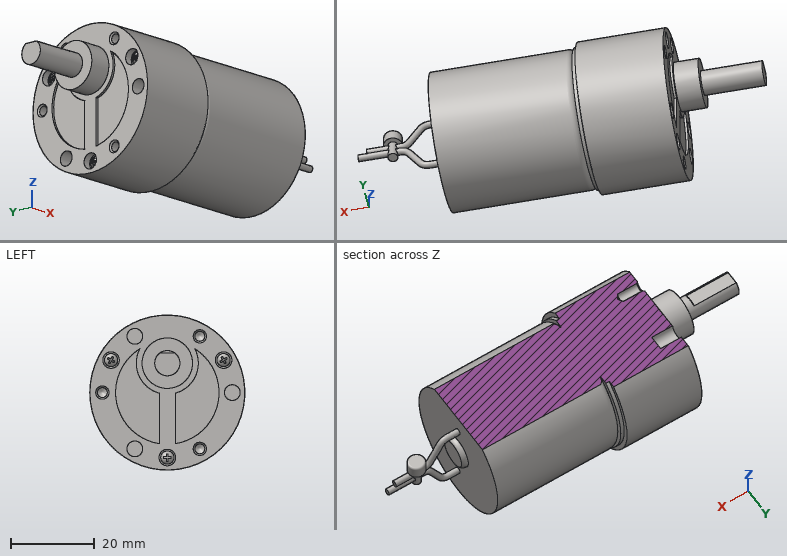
import cadquery as cq
import math

OVERALL_LENGTH = 98.7

GEARBOX_RADIUS = 37.0 / 2
GEARBOX_LENGTH = 21.4
COLLAR_RADIUS = 17.3
COLLAR_LENGTH = 1.0
CAN_RADIUS = 34.1 / 2
CAN_FRONT_FILLET = 1.5
CAN_END = 57.5
END_CAP_RADIUS = 4.3
END_CAP_LENGTH = 1.5
END_CAP_TIP_RADIUS = 3.7

SHAFT_HEIGHT = 7.0
SHAFT_RADIUS = 6.0 / 2
SHAFT_REACH = 20.9
BUSHING_RADIUS = 6.0
BUSHING_LENGTH = 6.0
FLAT_LENGTH = 12.0
FLAT_HEIGHT = 2.5

RECESS_DEPTH = 0.6
RECESS_RADIUS = 12.3
BOSS_RADIUS = 7.4
RIB_WIDTH = 3.85

BOLT_CIRCLE_RADIUS = 15.5
HOLE_DEPTH = 5.9
PLAIN_HOLE_RADIUS = 1.9
PLAIN_HOLE_ANGLES = (0, 120, 240)
TAPPED_HOLE_RADIUS = 1.2
TAPPED_HOLE_CHAMFER = 0.4
TAPPED_HOLE_ANGLES = (60, 180, 300)
DRILL_POINT_ANGLE = 118
SCREW_HOLE_RADIUS = 2.0
SCREW_HOLE_DEPTH = 2.0
SCREW_ANGLES = (30, 150, 270)
SCREW_HEAD_RADIUS = 1.6
SCREW_HEAD_HEIGHT = 1.0
CROSS_LENGTH = 1.8
CROSS_WIDTH = 0.4
CROSS_DEPTH = 0.6

WIRE_RADIUS = 0.84
WIRE_EXIT_HEIGHT = 8.3
WIRE_END_HEIGHT = 0.9
WIRE_EXIT_LENGTH = 3.0
WIRE_BEND_RADIUS = 2.6
WIRE_SLOPE = math.radians(60)
LOWER_WIRE_END = OVERALL_LENGTH - SHAFT_REACH
UPPER_WIRE_END = LOWER_WIRE_END - 2.1
PIN_X = 69.4
PIN_RADIUS = 1.2
PIN_BOTTOM = -2.9
PIN_HEAD_RADIUS = 2.3
PIN_HEAD_BOTTOM = 2.0
PIN_HEAD_TOP = 5.3
PIN_HEAD_FILLET = 0.5


def cylinder_x(radius, start, end, height=0.0):
    """Cylinder along X between two X positions, at Y = 0 and the given Z."""
    return cq.Workplane("YZ", origin=(start, 0, height)).circle(radius).extrude(end - start)


def make_housing():
    collar_end = GEARBOX_LENGTH + COLLAR_LENGTH
    gearbox = cylinder_x(GEARBOX_RADIUS, 0, GEARBOX_LENGTH)
    collar = cylinder_x(COLLAR_RADIUS, GEARBOX_LENGTH, collar_end)
    can = cylinder_x(CAN_RADIUS, collar_end, CAN_END).faces("<X").edges().fillet(CAN_FRONT_FILLET)
    return gearbox.union(collar).union(can)


def make_end_cap():
    """Low cap with a rounded side that starts parallel to X, revolved about X."""
    cap_root = CAN_END - END_CAP_LENGTH
    cap_end = CAN_END + END_CAP_LENGTH
    profile = (
        cq.Workplane("XY")
        .moveTo(cap_root, 0)
        .lineTo(cap_root, END_CAP_RADIUS)
        .lineTo(CAN_END, END_CAP_RADIUS)
        .tangentArcPoint((cap_end, END_CAP_TIP_RADIUS), relative=False)
        .lineTo(cap_end, 0)
        .close()
    )
    return profile.revolve(360, (0, 0, 0), (1, 0, 0))


def make_shaft():
    bushing = cylinder_x(BUSHING_RADIUS, -BUSHING_LENGTH, 0, SHAFT_HEIGHT)
    shaft = cylinder_x(SHAFT_RADIUS, -SHAFT_REACH, 0, SHAFT_HEIGHT)
    above_flat = cq.Workplane("XY").box(
        FLAT_LENGTH, 2 * SHAFT_RADIUS, SHAFT_RADIUS, centered=(False, True, False)
    ).translate((-SHAFT_REACH, 0, SHAFT_HEIGHT + FLAT_HEIGHT))
    return bushing.union(shaft.cut(above_flat))


def make_face_recess():
    """Disc minus the boss around the shaft and the rib running down from it."""
    disc = cylinder_x(RECESS_RADIUS, 0, RECESS_DEPTH)
    boss = cylinder_x(BOSS_RADIUS, 0, RECESS_DEPTH, SHAFT_HEIGHT)
    rib = cq.Workplane("XY").box(
        RECESS_DEPTH, RIB_WIDTH, RECESS_RADIUS, centered=(False, True, False)
    ).translate((0, 0, -RECESS_RADIUS))
    return disc.cut(boss).cut(rib)


def on_bolt_circle(tool, angles):
    """Copies of a tool at the origin, turned with the bolt circle to each angle."""
    first = tool.translate((0, -BOLT_CIRCLE_RADIUS, 0))
    copies = cq.Workplane("XY")
    for angle in angles:
        copies = copies.add(first.rotate((0, 0, 0), (1, 0, 0), -angle))
    return copies.combine()


def make_tapped_hole():
    """Chamfered drill hole with a conical end, revolved about X."""
    mouth_radius = TAPPED_HOLE_RADIUS + TAPPED_HOLE_CHAMFER
    point_length = TAPPED_HOLE_RADIUS / math.tan(math.radians(DRILL_POINT_ANGLE / 2))
    profile = (
        cq.Workplane("XY")
        .lineTo(0, mouth_radius)
        .lineTo(TAPPED_HOLE_CHAMFER, TAPPED_HOLE_RADIUS)
        .lineTo(HOLE_DEPTH, TAPPED_HOLE_RADIUS)
        .lineTo(HOLE_DEPTH + point_length, 0)
        .close()
    )
    return profile.revolve(360, (0, 0, 0), (1, 0, 0))


def make_screw_head():
    """Domed head with a cross recess, standing on the floor of its hole."""
    top = SCREW_HOLE_DEPTH - SCREW_HEAD_HEIGHT
    sphere_radius = (SCREW_HEAD_RADIUS**2 + SCREW_HEAD_HEIGHT**2) / (2 * SCREW_HEAD_HEIGHT)
    head = cylinder_x(SCREW_HEAD_RADIUS, top, SCREW_HOLE_DEPTH).intersect(
        cq.Workplane("XY").sphere(sphere_radius).translate((top + sphere_radius, 0, 0))
    )
    cross_plane = cq.Workplane("YZ", origin=(top, 0, 0))
    for width, height in ((CROSS_LENGTH, CROSS_WIDTH), (CROSS_WIDTH, CROSS_LENGTH)):
        head = head.cut(cross_plane.rect(width, height).extrude(CROSS_DEPTH))
    return head


def make_wire(side, end_x):
    """Wire above (side = 1) or below (side = -1) the axis: straight, S-bend, straight."""
    sin_slope = math.sin(WIRE_SLOPE)
    cos_slope = math.cos(WIRE_SLOPE)
    bend_run = WIRE_BEND_RADIUS * sin_slope
    bend_drop = WIRE_BEND_RADIUS * (1 - cos_slope)
    slope_drop = WIRE_EXIT_HEIGHT - WIRE_END_HEIGHT - 2 * bend_drop
    slope_run = slope_drop / math.tan(WIRE_SLOPE)

    bend_start = CAN_END + WIRE_EXIT_LENGTH
    slope_start = bend_start + bend_run
    slope_end = slope_start + slope_run
    path = (
        cq.Workplane("XZ")
        .moveTo(CAN_END, side * WIRE_EXIT_HEIGHT)
        .lineTo(bend_start, side * WIRE_EXIT_HEIGHT)
        .tangentArcPoint((slope_start, side * (WIRE_EXIT_HEIGHT - bend_drop)), relative=False)
        .lineTo(slope_end, side * (WIRE_END_HEIGHT + bend_drop))
        .tangentArcPoint((slope_end + bend_run, side * WIRE_END_HEIGHT), relative=False)
        .lineTo(end_x, side * WIRE_END_HEIGHT)
    )
    start = cq.Workplane("YZ", origin=(CAN_END, 0, side * WIRE_EXIT_HEIGHT))
    return start.circle(WIRE_RADIUS).sweep(path)


def make_pin():
    pin = cq.Workplane("XY", origin=(PIN_X, 0, PIN_BOTTOM)).circle(PIN_RADIUS)
    pin = pin.extrude(PIN_HEAD_BOTTOM - PIN_BOTTOM)
    head = cq.Workplane("XY", origin=(PIN_X, 0, PIN_HEAD_BOTTOM)).circle(PIN_HEAD_RADIUS)
    head = head.extrude(PIN_HEAD_TOP - PIN_HEAD_BOTTOM).faces(">Z").edges().fillet(PIN_HEAD_FILLET)
    return pin.union(head)


plain_hole = cylinder_x(PLAIN_HOLE_RADIUS, 0, HOLE_DEPTH)
screw_hole = cylinder_x(SCREW_HOLE_RADIUS, 0, SCREW_HOLE_DEPTH).cut(make_screw_head())

result = (
    make_housing()
    .cut(make_face_recess())
    .cut(on_bolt_circle(plain_hole, PLAIN_HOLE_ANGLES))
    .cut(on_bolt_circle(make_tapped_hole(), TAPPED_HOLE_ANGLES))
    .cut(on_bolt_circle(screw_hole, SCREW_ANGLES))
    .union(make_end_cap())
    .union(make_shaft())
    .union(make_wire(1, UPPER_WIRE_END))
    .union(make_wire(-1, LOWER_WIRE_END))
    .union(make_pin())
)